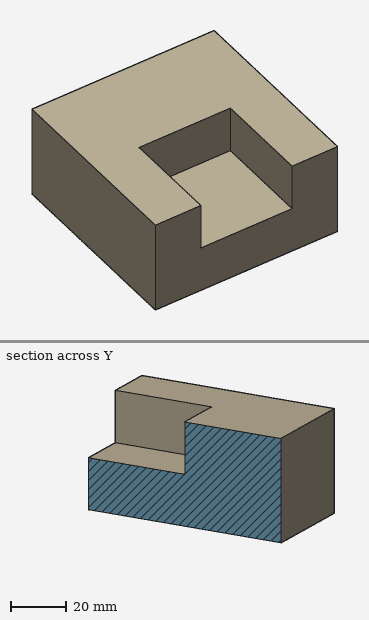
import cadquery as cq

side = 80.0
height = side / 2
pocket_length = side / 2
pocket_width = side / 2
pocket_depth = height / 2

block = cq.Workplane("XY").box(side, side, height)

pocket = (
    cq.Workplane("XY")
    .box(pocket_length, pocket_width, pocket_depth)
    .translate(((side - pocket_length) / 2, 0, (height - pocket_depth) / 2))
)

result = block.cut(pocket)